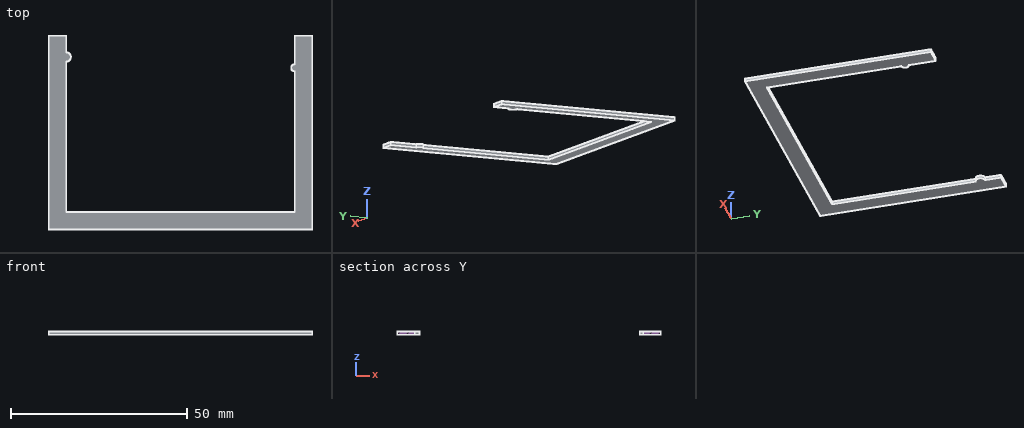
import cadquery as cq

length = 74.8
depth = 55.0
thickness = 1.0
bar_width = 5.0

left_bump_radius = 1.35
left_bump_from_tip = 6.05
right_bump_radius = 1.05
right_bump_from_tip = 9.1

inner_half = length / 2 - bar_width
tip_y = depth / 2


def plate(width, height, x, y):
    """Flat rectangle centered at (x, y)."""
    return cq.Workplane("XY").center(x, y).rect(width, height).extrude(thickness)


def bump(x, from_tip, radius):
    """Disc that overlaps an arm and bulges into the opening."""
    return cq.Workplane("XY").center(x, tip_y - from_tip).circle(radius).extrude(thickness)


frame = plate(length, depth, 0, 0)
frame = frame.cut(plate(2 * inner_half, depth - bar_width, 0, bar_width / 2))

left_bump = bump(-inner_half, left_bump_from_tip, left_bump_radius)
right_bump = bump(inner_half, right_bump_from_tip, right_bump_radius)

result = frame.union(left_bump).union(right_bump)